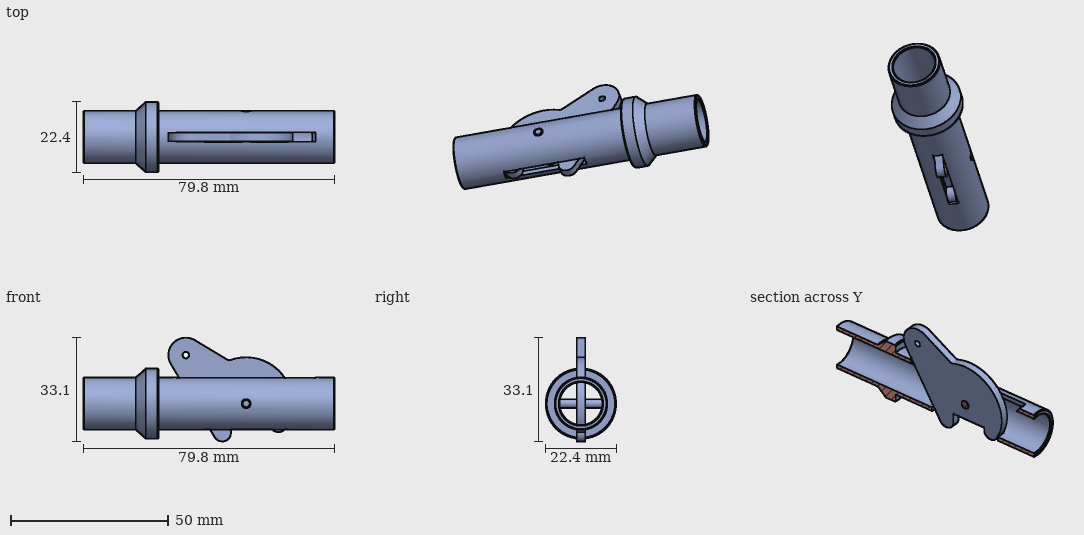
import cadquery as cq
import math

tube_length = 79.85
tube_radius = 8.4
bore_radius = 6.8
end_chamfer = 0.3

collar_diameter = 22.4
collar_radius = collar_diameter / 2
collar_start = 16.7
collar_cone_end = 19.9
collar_end = 23.95
collar_chamfer = 0.4

pivot_x = 51.7
pin_radius = 1.4
pin_chamfer = 0.3

slot_width = 3.0
top_slot_half_length = 22.1
top_slot_inset = 1.1
bottom_slot_half_length = 13.25

lever_thickness = 2.8
head_x = -19.2
head_z = 15.4
head_radius = 5.6
head_hole_diameter = 2.0
head_slope = math.radians(31)
disc_radius = 14.8
notch_fillet = 1.2
long_foot_radius = 2.8
long_foot_x = -7.6
long_foot_z = -9.3
short_foot_radius = 2.6
short_foot_bottom = -9.1
underside_z = -5.6


def along_y(radius, length, x, z):
    """Cylinder parallel to Y, centred on the XZ plane."""
    return cq.Workplane("XZ").center(x, z).circle(radius).extrude(length / 2, both=True)


def polar(center, radius, angle):
    return (center[0] + radius * math.cos(angle), center[1] + radius * math.sin(angle))


def make_tube():
    tube = cq.Workplane("YZ").circle(tube_radius).extrude(tube_length)
    collar = (
        cq.Workplane("XY")
        .moveTo(collar_start, 0)
        .lineTo(collar_start, tube_radius)
        .lineTo(collar_cone_end, collar_radius)
        .lineTo(collar_end - collar_chamfer, collar_radius)
        .lineTo(collar_end, collar_radius - collar_chamfer)
        .lineTo(collar_end, 0)
        .close()
        .revolve(360, (0, 0, 0), (1, 0, 0))
    )
    bore = cq.Workplane("YZ").circle(bore_radius).extrude(tube_length)
    tube = tube.cut(bore).faces("<X or >X").chamfer(end_chamfer)
    inner_half_length = top_slot_half_length - top_slot_inset
    wall_slope = top_slot_inset / (tube_radius - bore_radius)
    axis_half_length = inner_half_length - wall_slope * bore_radius
    upper_half_length = axis_half_length + wall_slope * collar_radius
    top_slot = (
        cq.Workplane("XZ")
        .polyline([
            (pivot_x - axis_half_length, 0),
            (pivot_x + axis_half_length, 0),
            (pivot_x + upper_half_length, collar_radius),
            (pivot_x - upper_half_length, collar_radius),
        ])
        .close()
        .extrude(slot_width / 2, both=True)
    )
    bottom_slot = cq.Workplane("XY").box(
        2 * bottom_slot_half_length, slot_width, collar_radius, centered=(True, True, False)
    ).translate((pivot_x, 0, -collar_radius))
    pin_hole = along_y(pin_radius, 2 * collar_radius, pivot_x, 0)
    return tube.union(collar.cut(bore)).cut(top_slot).cut(bottom_slot).cut(pin_hole)


def make_lever():
    pivot = (0, 0)
    head = (head_x, head_z)
    long_foot = (long_foot_x, long_foot_z)

    upper_normal = math.pi / 2 - head_slope
    head_upper = polar(head, head_radius, upper_normal)
    edge_offset = head_upper[0] * math.cos(upper_normal) + head_upper[1] * math.sin(upper_normal)
    notch_angle = upper_normal + math.acos(edge_offset / disc_radius)
    notch = polar(pivot, disc_radius, notch_angle)

    run = long_foot_x - head_x
    drop = head_z - long_foot_z
    spread = math.asin((head_radius - long_foot_radius) / math.hypot(run, drop))
    front_normal = math.pi + math.atan2(run, drop) + spread
    head_lower = polar(head, head_radius, front_normal)
    long_foot_front = polar(long_foot, long_foot_radius, front_normal)

    short_foot_z = short_foot_bottom + short_foot_radius
    short_foot_angle = math.asin(short_foot_z / (disc_radius - short_foot_radius))
    short_foot = polar(pivot, disc_radius - short_foot_radius, short_foot_angle)
    short_foot_outer = polar(pivot, disc_radius, short_foot_angle)
    short_foot_inner = polar(short_foot, short_foot_radius, math.pi)

    long_foot_mid = polar(long_foot, long_foot_radius, -math.pi / 2)
    long_foot_rear = polar(long_foot, long_foot_radius, 0)
    blade = (
        cq.Workplane("XZ")
        .moveTo(*head_lower)
        .threePointArc(polar(head, head_radius, (upper_normal + front_normal) / 2), head_upper)
        .lineTo(*notch)
        .threePointArc(polar(pivot, disc_radius, (notch_angle + short_foot_angle) / 2), short_foot_outer)
        .threePointArc(polar(short_foot, short_foot_radius, -math.pi / 2), short_foot_inner)
        .lineTo(short_foot_inner[0], underside_z)
        .lineTo(long_foot_rear[0], underside_z)
        .lineTo(*long_foot_rear)
        .threePointArc(long_foot_mid, long_foot_front)
        .close()
        .extrude(lever_thickness / 2, both=True)
    )
    notch_edge = cq.selectors.NearestToPointSelector((notch[0], 0, notch[1]))
    blade = blade.edges("|Y").edges(notch_edge).fillet(notch_fillet)
    blade = blade.cut(along_y(head_hole_diameter / 2, 2 * lever_thickness, *head))
    blade = blade.cut(along_y(pin_radius, 2 * lever_thickness, *pivot))
    return blade.translate((pivot_x, 0, 0))


def make_pin():
    return along_y(pin_radius, 2 * tube_radius, pivot_x, 0).faces("<Y or >Y").chamfer(pin_chamfer)


tube = make_tube()
lever = make_lever()
pin = make_pin()

result = cq.Compound.makeCompound([tube.solids().val(), lever.solids().val(), pin.solids().val()])